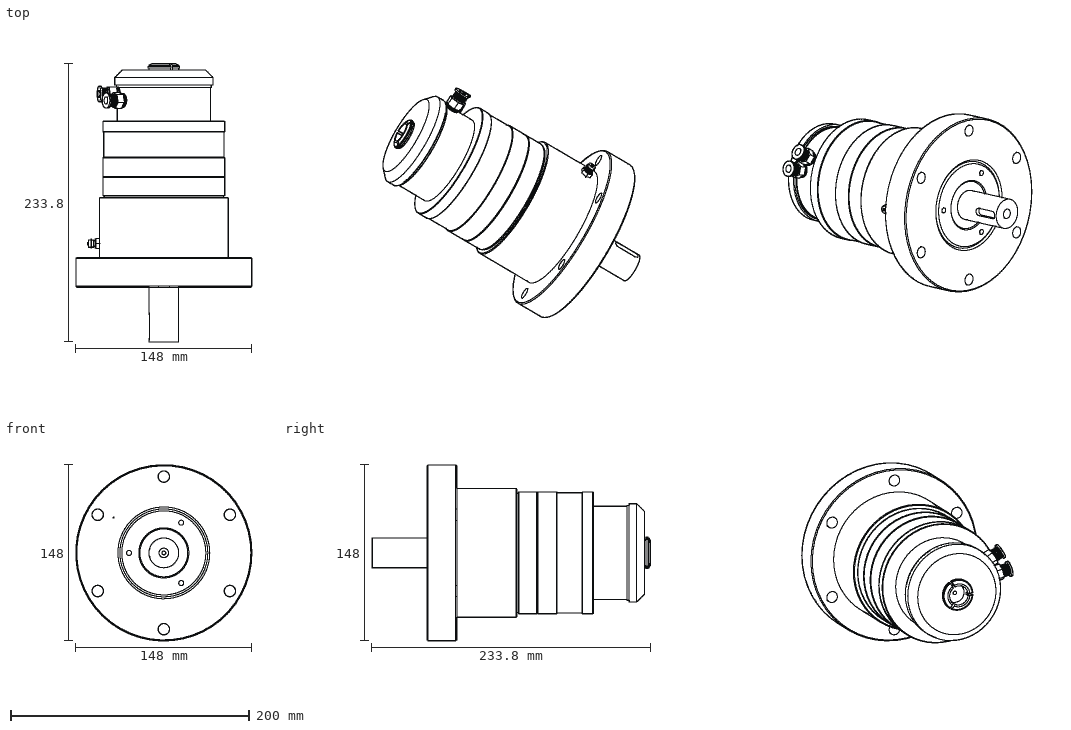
import cadquery as cq
import math


OVERALL_LENGTH = 233.8

SHAFT_DIA = 25.0
SHAFT_FRONT = -46.0
SHAFT_REAR = 177.6
SHOULDER_DIA = 40.2
BORE_CHAMFER = 1.0
CENTRE_BORE_DIA = 3.0
CENTRE_TAP_DIA = 8.0
CENTRE_TAP_DEPTH = 18.7
CENTRE_TAP_CONE = 1.9
KEY_FRONT = -44.2
KEY_REAR = -21.5
KEY_WIDTH = 6.3
KEY_DEPTH = 3.5

COVER_DIA = 73.9
COVER_DEPTH = 11.7
COVER_CHAMFER = 1.6
JACK_HOLE_DIA = 4.2
JACK_HOLE_RADIUS = 29.2
JACK_HOLE_DEPTH = 4.7
JACK_FLAT_ANGLES = (60, 180)
JACK_DRILLED_ANGLE = -60

FLANGE_DIA = 148.0
FLANGE_THICKNESS = 25.0
FLANGE_CHAMFER = 1.0
HOUSING_DIA = 108.2
HOUSING_REAR = 75.5
HOUSING_CHAMFER = 0.7
BOLT_COUNT = 6
FIRST_BOLT_ANGLE = 90
BOLT_HOLE_DIA = 9.4
BOLT_CIRCLE_RADIUS = 64.0

RING_DIA = 102.4
RING_CHAMFER = 0.5
SPIGOT_DIA = 100.5
FRONT_RING_FACE = 76.7
FRONT_RING_REAR = 92.5
REAR_RING_REAR = 109.2

DRUM_DIA = 101.2
DRUM_REAR = 130.2
DRUM_RIM_REAR = 139.5
NECK_DIA = 78.5
LIP_DIA = 80.0
LIP_FRONT = 167.8
CAP_DIA = 82.7
CAP_FRONT = 169.7
CAP_BEVEL_FRONT = 176.0
CAP_FACE_DIA = 69.7
CAP_REAR = 182.5
COLLAR_DIA = 25.2
COLLAR_RIM_DIA = 26.6
COLLAR_RIM_FRONT = 184.0
COLLAR_RIM_REAR = 185.4
COLLAR_BEVEL_FRONT = 186.3
COLLAR_TIP_DIA = 19.6
COLLAR_REAR = SHAFT_FRONT + OVERALL_LENGTH
COLLAR_BORE_DIA = 16.4
COLLAR_SLOT_WIDTH = 1.9
COLLAR_SLOT_ANGLES = (60, 180, 300)

FITTING_PLACES = ((30, 156.8, 15), (14, 162.2, 0))
FITTING_FACE_RADIUS = 56.0
FITTING_RIM_DIA = 13.0
FITTING_RIM_LENGTH = 1.6
FITTING_GROOVE_DIA = 8.9
FITTING_GROOVE_LENGTH = 1.0
FITTING_COLLAR_DIA = 10.3
FITTING_COLLAR_LENGTH = 1.2
FITTING_COLLAR_COUNT = 3
FITTING_HEX_FLATS = 12.0
FITTING_HEX_LENGTH = 6.5
FITTING_UNDERCUT_LENGTH = 0.7
FITTING_WASHER_DIA = 12.0
FITTING_WASHER_LENGTH = 1.2
FITTING_STEM_DIA = 10.5
FITTING_STEM_LENGTH = 3.5
FITTING_BORE_DIA = 6.0
FITTING_BORE_DEPTH = 14.0

NIPPLE_Y = 36.7
NIPPLE_SEAT = 49.0
NIPPLE_HEX_END = 57.0
NIPPLE_CONE_END = 57.7
NIPPLE_NECK_END = 59.1
NIPPLE_DISC_START = 60.5
NIPPLE_DISC_END = 61.2
NIPPLE_HEAD_END = 63.3
NIPPLE_TIP_END = 64.0
NIPPLE_HEX_FLATS = 8.6
NIPPLE_CONE_DIA = 7.5
NIPPLE_NECK_DIA = 5.0
NIPPLE_HEAD_DIA = 6.3
NIPPLE_DISC_DIA = 7.7
NIPPLE_TIP_DIA = 2.0


def turned(outline):
    """Solid of revolution about Y from (diameter, y) corners."""
    points = [(diameter / 2, y) for diameter, y in outline]
    return cq.Workplane("XY").polyline(points).close().revolve(360, (0, 0), (0, 1))


def cylinder_y(diameter, front, rear, x=0, z=0):
    """Cylinder parallel to Y between two distances along Y."""
    solid = cq.Solid.makeCylinder(
        diameter / 2, rear - front, cq.Vector(x, front, z), cq.Vector(0, 1, 0)
    )
    return cq.Workplane(solid)


def on_circle(radius, angle):
    """X and Z of a place on a circle about Y, with the angle measured from +X towards +Z."""
    return radius * math.cos(math.radians(angle)), radius * math.sin(math.radians(angle))


def hex_corner_dia(flats):
    return flats / math.cos(math.pi / 6)


def make_shaft():
    shaft = turned([
        (0, SHAFT_FRONT),
        (SHAFT_DIA, SHAFT_FRONT),
        (SHAFT_DIA, BORE_CHAMFER),
        (SHOULDER_DIA, BORE_CHAMFER),
        (SHOULDER_DIA, COVER_DEPTH),
        (SHAFT_DIA, COVER_DEPTH),
        (SHAFT_DIA, SHAFT_REAR),
        (0, SHAFT_REAR),
    ])
    tap_end = SHAFT_FRONT + CENTRE_TAP_DEPTH
    centre_hole = turned([
        (0, SHAFT_FRONT),
        (CENTRE_TAP_DIA, SHAFT_FRONT),
        (CENTRE_TAP_DIA, tap_end),
        (CENTRE_BORE_DIA, tap_end + CENTRE_TAP_CONE),
        (CENTRE_BORE_DIA, SHAFT_REAR),
        (0, SHAFT_REAR),
    ])
    keyway = (
        cq.Workplane("YZ", origin=(-SHAFT_DIA / 2, (KEY_FRONT + KEY_REAR) / 2, 0))
        .slot2D(KEY_REAR - KEY_FRONT, KEY_WIDTH)
        .extrude(KEY_DEPTH)
    )
    return shaft.cut(centre_hole).cut(keyway)


def make_cover():
    cover = turned([
        (SHOULDER_DIA + 2 * BORE_CHAMFER, 0),
        (COVER_DIA - 2 * COVER_CHAMFER, 0),
        (COVER_DIA, COVER_CHAMFER),
        (COVER_DIA, COVER_DEPTH),
        (SHOULDER_DIA, COVER_DEPTH),
        (SHOULDER_DIA, BORE_CHAMFER),
    ])
    for angle in (*JACK_FLAT_ANGLES, JACK_DRILLED_ANGLE):
        x, z = on_circle(JACK_HOLE_RADIUS, angle)
        cover = cover.cut(cylinder_y(JACK_HOLE_DIA, 0, JACK_HOLE_DEPTH, x, z))
    x, z = on_circle(JACK_HOLE_RADIUS, JACK_DRILLED_ANGLE)
    drill_point = cq.Solid.makeCone(
        JACK_HOLE_DIA / 2, 0, JACK_HOLE_DIA / 2, cq.Vector(x, JACK_HOLE_DEPTH, z), cq.Vector(0, 1, 0)
    )
    return cover.cut(cq.Workplane(drill_point))


def make_housing(nipple):
    housing = turned([
        (COVER_DIA + 2 * COVER_CHAMFER, 0),
        (FLANGE_DIA - 2 * FLANGE_CHAMFER, 0),
        (FLANGE_DIA, FLANGE_CHAMFER),
        (FLANGE_DIA, FLANGE_THICKNESS - FLANGE_CHAMFER),
        (FLANGE_DIA - 2 * FLANGE_CHAMFER, FLANGE_THICKNESS),
        (HOUSING_DIA, FLANGE_THICKNESS),
        (HOUSING_DIA, HOUSING_REAR - HOUSING_CHAMFER),
        (HOUSING_DIA - 2 * HOUSING_CHAMFER, HOUSING_REAR),
        (SHAFT_DIA, HOUSING_REAR),
        (SHAFT_DIA, COVER_DEPTH),
        (COVER_DIA, COVER_DEPTH),
        (COVER_DIA, COVER_CHAMFER),
    ])
    for index in range(BOLT_COUNT):
        x, z = on_circle(BOLT_CIRCLE_RADIUS, FIRST_BOLT_ANGLE + 360 * index / BOLT_COUNT)
        housing = housing.cut(cylinder_y(BOLT_HOLE_DIA, 0, FLANGE_THICKNESS, x, z))
    return housing.cut(nipple)


def ring_outline(front, rear):
    """Outer corners of a ring with both edges chamfered."""
    return [
        (RING_DIA - 2 * RING_CHAMFER, front),
        (RING_DIA, front + RING_CHAMFER),
        (RING_DIA, rear - RING_CHAMFER),
        (RING_DIA - 2 * RING_CHAMFER, rear),
    ]


def make_front_ring():
    return turned([
        (SHAFT_DIA, HOUSING_REAR),
        (SPIGOT_DIA, HOUSING_REAR),
        (SPIGOT_DIA, FRONT_RING_FACE),
        *ring_outline(FRONT_RING_FACE, FRONT_RING_REAR),
        (SHAFT_DIA, FRONT_RING_REAR),
    ])


def make_rear_ring():
    return turned([
        (SHAFT_DIA, FRONT_RING_REAR),
        *ring_outline(FRONT_RING_REAR, REAR_RING_REAR),
        (SHAFT_DIA, REAR_RING_REAR),
    ])


def make_head(fittings):
    head = turned([
        (SHAFT_DIA, REAR_RING_REAR),
        (DRUM_DIA, REAR_RING_REAR),
        (DRUM_DIA, DRUM_REAR),
        *ring_outline(DRUM_REAR, DRUM_RIM_REAR),
        (NECK_DIA, DRUM_RIM_REAR),
        (NECK_DIA, LIP_FRONT),
        (LIP_DIA, LIP_FRONT),
        (LIP_DIA, CAP_FRONT),
        (CAP_DIA, CAP_FRONT),
        (CAP_DIA, CAP_BEVEL_FRONT),
        (CAP_FACE_DIA, CAP_REAR),
        (COLLAR_DIA, CAP_REAR),
        (COLLAR_DIA, COLLAR_RIM_FRONT),
        (COLLAR_RIM_DIA, COLLAR_RIM_FRONT),
        (COLLAR_RIM_DIA, COLLAR_RIM_REAR),
        (COLLAR_DIA, COLLAR_RIM_REAR),
        (COLLAR_DIA, COLLAR_BEVEL_FRONT),
        (COLLAR_TIP_DIA, COLLAR_REAR),
        (COLLAR_BORE_DIA, COLLAR_REAR),
        (COLLAR_BORE_DIA, SHAFT_REAR),
        (SHAFT_DIA, SHAFT_REAR),
    ])
    slot = cq.Workplane("XY").box(
        COLLAR_RIM_DIA / 2, COLLAR_REAR - CAP_REAR, COLLAR_SLOT_WIDTH, centered=(False, False, True)
    ).translate((0, CAP_REAR, 0))
    for angle in COLLAR_SLOT_ANGLES:
        head = head.cut(slot.rotate((0, 0, 0), (0, 1, 0), -angle))
    for fitting in fittings:
        head = head.cut(fitting)
    return head


def make_fitting(angle, y, hex_turn):
    """Hose fitting built inwards from its outer face; an unturned hexagon has flats towards +Y and -Y."""
    x, z = on_circle(FITTING_FACE_RADIUS, 180 - angle)
    inward = (-x, 0, -z)
    corner_direction = (z, 0, -x)
    face = cq.Workplane(cq.Plane((x, y, z), corner_direction, inward))
    collar_steps = [
        (FITTING_GROOVE_DIA, FITTING_GROOVE_LENGTH),
        (FITTING_COLLAR_DIA, FITTING_COLLAR_LENGTH),
    ]
    base_steps = [
        (FITTING_STEM_DIA, FITTING_UNDERCUT_LENGTH),
        (FITTING_WASHER_DIA, FITTING_WASHER_LENGTH),
        (FITTING_STEM_DIA, FITTING_STEM_LENGTH),
    ]
    fitting = face.circle(FITTING_RIM_DIA / 2).extrude(FITTING_RIM_LENGTH)
    depth = FITTING_RIM_LENGTH
    for diameter, length in collar_steps * FITTING_COLLAR_COUNT:
        fitting = fitting.union(face.workplane(depth).circle(diameter / 2).extrude(length))
        depth += length
    hexagon = (
        face.workplane(depth)
        .transformed(rotate=(0, 0, hex_turn))
        .polygon(6, hex_corner_dia(FITTING_HEX_FLATS))
        .extrude(FITTING_HEX_LENGTH)
    )
    fitting = fitting.union(hexagon)
    depth += FITTING_HEX_LENGTH
    for diameter, length in base_steps:
        fitting = fitting.union(face.workplane(depth).circle(diameter / 2).extrude(length))
        depth += length
    bore = face.circle(FITTING_BORE_DIA / 2).extrude(FITTING_BORE_DEPTH)
    return fitting.cut(bore)


def make_nipple():
    """Grease nipple pointing along -X, with a hexagon corner towards +Z."""
    outline = [
        (0, NIPPLE_HEX_END),
        (NIPPLE_CONE_DIA, NIPPLE_HEX_END),
        (NIPPLE_CONE_DIA, NIPPLE_CONE_END),
        (NIPPLE_NECK_DIA, NIPPLE_CONE_END),
        (NIPPLE_NECK_DIA, NIPPLE_NECK_END),
        (NIPPLE_HEAD_DIA, NIPPLE_NECK_END),
        (NIPPLE_HEAD_DIA, NIPPLE_DISC_START),
        (NIPPLE_DISC_DIA, NIPPLE_DISC_START),
        (NIPPLE_DISC_DIA, NIPPLE_DISC_END),
        (NIPPLE_HEAD_DIA, NIPPLE_DISC_END),
        (NIPPLE_HEAD_DIA, NIPPLE_HEAD_END),
        (NIPPLE_TIP_DIA, NIPPLE_HEAD_END),
        (NIPPLE_TIP_DIA, NIPPLE_TIP_END),
        (0, NIPPLE_TIP_END),
    ]
    head = turned(outline).rotate((0, 0, 0), (0, 0, 1), 90)
    axis = cq.Plane((-NIPPLE_SEAT, 0, 0), (0, 0, 1), (-1, 0, 0))
    hexagon = (
        cq.Workplane(axis)
        .polygon(6, hex_corner_dia(NIPPLE_HEX_FLATS))
        .extrude(NIPPLE_HEX_END - NIPPLE_SEAT)
    )
    return head.union(hexagon).translate((0, NIPPLE_Y, 0))


shaft = make_shaft()
cover = make_cover()
nipple = make_nipple()
housing = make_housing(nipple)
front_ring = make_front_ring()
rear_ring = make_rear_ring()
fittings = [make_fitting(*place) for place in FITTING_PLACES]
head = make_head(fittings)

result = cq.Compound.makeCompound([
    shaft.val(),
    cover.val(),
    housing.val(),
    nipple.val(),
    front_ring.val(),
    rear_ring.val(),
    head.val(),
    *[fitting.val() for fitting in fittings],
])